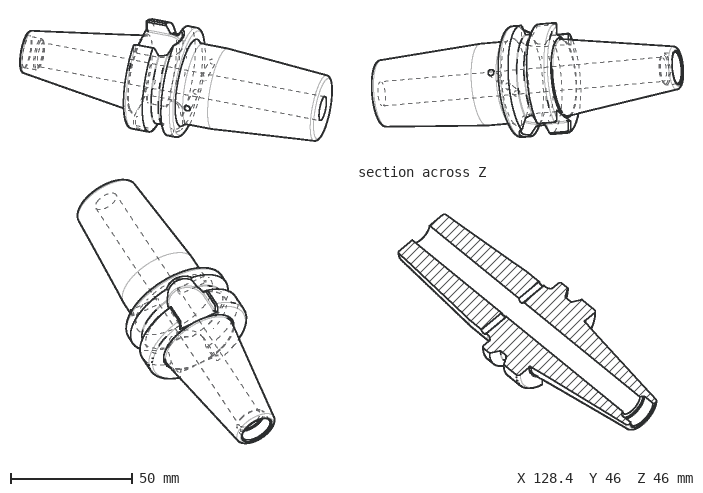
import cadquery as cq
import math

total_length = 128.4

taper_length = 48.9
gauge_radius = 15.9
taper_ratio = 7 / 24
small_end_radius = gauge_radius - taper_length * taper_ratio / 2
small_end_fillet = 1.3
relief_width = 0.4
relief_height = 0.6

flange_radius = 23.0
flange_front = taper_length + relief_width
flange_back = 70.5
flange_fillet = 1.2
groove_radius = 19.0
groove_floor_front = 60.1
groove_floor_back = 63.5
groove_corner_fillet = 0.4
groove_flank_angle = 60.0
flank_length = (flange_radius - groove_radius) / math.tan(math.radians(groove_flank_angle))

neck_radius = 17.0
neck_start = 73.2
neck_fillet_rise = 1.3
nose_taper_start = 84.0
nose_end_radius = 13.7
nose_end_fillet = 1.2

slot_half_width = 8.1
slot_floor = 16.3
slot_end = 67.4
slot_arc_start = slot_end - slot_half_width
slot_floor_fillet = 0.5
slot_edge_chamfer = 0.8

entry_radius = 7.0
pilot_radius = 6.5
pilot_depth = 5.4
seat_radius = 6.2
seat_depth = 5.9
bore_radius = 5.0
bore_start = 6.5

cross_hole_radius = 1.3
cross_hole_x = 75.2

tolerance = 0.01


def revolve_about_x(outline):
    """Close an outline drawn in the XZ plane and turn it about the X axis."""
    return outline.close().revolve(360, (0, 0, 0), (1, 0, 0))


def edges_within(body, low, high):
    """Edges whose centres lie in the box between two opposite corners."""
    return body.edges(cq.selectors.BoxSelector(low, high))


def turned_body():
    """Shank, flange, groove and nose."""
    neck_run = neck_start - flange_back
    neck_arc_radius = (neck_run**2 + neck_fillet_rise**2) / (2 * neck_fillet_rise)
    outline = (
        cq.Workplane("XZ")
        .moveTo(0, 0)
        .lineTo(0, small_end_radius)
        .lineTo(taper_length, gauge_radius)
        .threePointArc((flange_front, gauge_radius), (flange_front, gauge_radius + relief_height))
        .lineTo(flange_front, flange_radius)
        .lineTo(groove_floor_front - flank_length, flange_radius)
        .lineTo(groove_floor_front, groove_radius)
        .lineTo(groove_floor_back, groove_radius)
        .lineTo(groove_floor_back + flank_length, flange_radius)
        .lineTo(flange_back, flange_radius)
        .lineTo(flange_back, neck_radius + neck_fillet_rise)
        .radiusArc((neck_start, neck_radius), -neck_arc_radius)
        .lineTo(nose_taper_start, neck_radius)
        .lineTo(total_length, nose_end_radius)
        .lineTo(total_length, 0)
    )
    body = revolve_about_x(outline)
    body = body.faces("<X").edges().fillet(small_end_fillet)
    body = body.faces(">X").edges().fillet(nose_end_fillet)
    body = edges_within(
        body,
        (groove_floor_front - tolerance, -flange_radius, -flange_radius),
        (groove_floor_back + tolerance, flange_radius, flange_radius),
    ).fillet(groove_corner_fillet)
    flange_rims = body.edges(cq.selectors.RadiusNthSelector(-1)).edges("<X or >X")
    return flange_rims.fillet(flange_fillet)


def slot_cutter():
    """Upper drive slot, open to the front, with a round rear end."""
    return (
        cq.Workplane("XY", origin=(0, 0, slot_floor))
        .moveTo(0, -slot_half_width)
        .lineTo(slot_arc_start, -slot_half_width)
        .threePointArc((slot_end, 0), (slot_arc_start, slot_half_width))
        .lineTo(0, slot_half_width)
        .close()
        .extrude(flange_radius)
    )


def cut_drive_slot(body):
    """Cut the upper slot, chamfer its upper and front edges and fillet its floor."""
    body = body.cut(slot_cutter())
    front_corners = [
        edge
        for y in (-slot_half_width, slot_half_width)
        for edge in edges_within(
            body,
            (flange_front - tolerance, y - tolerance, slot_floor + tolerance),
            (flange_front + tolerance, y + tolerance, flange_radius),
        ).vals()
    ]
    rear_rim = edges_within(
        body,
        (slot_arc_start, -slot_half_width, flange_radius - flange_fillet),
        (slot_end, slot_half_width, flange_radius),
    ).vals()
    body = body.newObject(front_corners + rear_rim).chamfer(slot_edge_chamfer)
    return edges_within(
        body,
        (slot_arc_start, -slot_half_width, slot_floor - tolerance),
        (slot_end, slot_half_width, slot_floor + tolerance),
    ).fillet(slot_floor_fillet)


def bore_cutter():
    """The stepped bore as a solid."""
    outline = (
        cq.Workplane("XZ")
        .moveTo(0, 0)
        .lineTo(0, entry_radius)
        .lineTo(entry_radius - pilot_radius, pilot_radius)
        .lineTo(pilot_depth, pilot_radius)
        .lineTo(seat_depth, seat_radius)
        .lineTo(bore_start, bore_radius)
        .lineTo(total_length, bore_radius)
        .lineTo(total_length, 0)
    )
    return revolve_about_x(outline)


def cross_hole_cutter():
    """A radial hole along Y through both walls of the neck."""
    return (
        cq.Workplane("XZ", origin=(cross_hole_x, 0, 0))
        .circle(cross_hole_radius)
        .extrude(flange_radius, both=True)
    )


result = turned_body()
for _ in range(2):
    result = cut_drive_slot(result).rotate((0, 0, 0), (1, 0, 0), 180)
result = result.cut(bore_cutter()).cut(cross_hole_cutter())